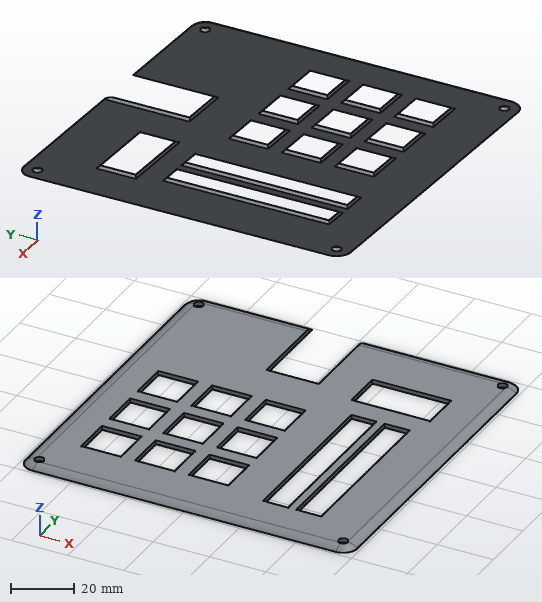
import cadquery as cq
import math

side = 118.0
thickness = 1.5
corner_radius = 5.1
edge_radius = 5.1

hole_diameter = 3.2
hole_inset = 5.0
hole_spacing = side - 2 * hole_inset

key_count = 3
key_size = 14.0
key_pitch = 19.1
key_center_x = -20.1
key_center_y = -14.4

notch_width = 18.5
notch_depth = 30.8
notch_center_x = -7.1

display_length = 28.0
display_width = 14.2
display_center_x = 30.0
display_center_y = 31.3

slot_count = 2
slot_width = 8.8
slot_length = 60.0
slot_pitch = 11.8
slot_center_x = 30.6
slot_center_y = -13.9


def centered_positions(count, pitch, center):
    """Evenly spaced coordinates, symmetric about center."""
    return [center + (i - (count - 1) / 2) * pitch for i in range(count)]


def rounded_plate():
    """Plate whose rim arc starts tangent to the top and meets the bottom in a sharp edge."""
    rim_width = math.sqrt(edge_radius**2 - (edge_radius - thickness) ** 2)
    overhang = edge_radius - rim_width
    block_side = side + 2 * overhang
    block_height = 2 * edge_radius
    block = (
        cq.Workplane("XY")
        .workplane(offset=thickness - block_height)
        .rect(block_side, block_side)
        .extrude(block_height)
        .edges("|Z")
        .fillet(corner_radius + overhang)
        .faces(">Z")
        .edges()
        .fillet(edge_radius)
    )
    top_layer = cq.Workplane("XY").box(block_side, block_side, thickness, centered=(True, True, False))
    return block.intersect(top_layer)


def opening(length_x, length_y, centers):
    """Rectangular cutters through the plate at the given centers."""
    return cq.Workplane("XY").pushPoints(centers).rect(length_x, length_y).extrude(thickness)


def screw_holes():
    return (
        cq.Workplane("XY")
        .rect(hole_spacing, hole_spacing, forConstruction=True)
        .vertices()
        .circle(hole_diameter / 2)
        .extrude(thickness)
    )


key_centers = [
    (x, y)
    for x in centered_positions(key_count, key_pitch, key_center_x)
    for y in centered_positions(key_count, key_pitch, key_center_y)
]
slot_centers = [(x, slot_center_y) for x in centered_positions(slot_count, slot_pitch, slot_center_x)]
notch_center = (notch_center_x, (side - notch_depth) / 2)
display_center = (display_center_x, display_center_y)

result = (
    rounded_plate()
    .cut(screw_holes())
    .cut(opening(key_size, key_size, key_centers))
    .cut(opening(notch_width, notch_depth, [notch_center]))
    .cut(opening(display_length, display_width, [display_center]))
    .cut(opening(slot_width, slot_length, slot_centers))
)